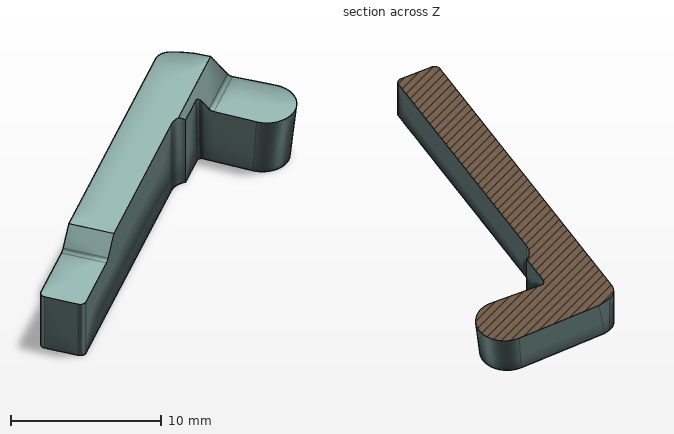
import cadquery as cq
import math

length = 25.55
height = 5.8
low_height = 4.47
step_drop = height - low_height

leg_width = 3.17
end_corner_radius = 0.4
shoulder_x = 3.78
shoulder_start_y = 18.05
shoulder_arc_radius = 1.33

tip_x = 10.0
tip_radius = 2.0
arm_center_y = length - tip_radius
flare_angle = math.radians(1.6)
bottom_radius_loss = 0.15
bottom_tip_setback = 0.45
inner_corner_radius = 0.3

leg_step_foot_y = 4.83
arm_step_foot_x = 4.73
step_fillet = 0.49

clearance = 0.25

corner_start = (0, 24.1)
corner_tight_mid = (0.25, 24.73)
corner_join = (0.75, 25.06)
corner_flat_mid = (1.33, 25.25)
corner_end = (2.17, 25.4)


def make_leg():
    """Leg prism with its curved shoulder, ending inside the arm."""
    rise = shoulder_x - leg_width
    arc_center_x = leg_width + shoulder_arc_radius

    def arc_point(angle):
        x = arc_center_x - shoulder_arc_radius * math.cos(angle)
        y = shoulder_start_y + shoulder_arc_radius * math.sin(angle)
        return (x, y)

    sweep = math.acos(1 - rise / shoulder_arc_radius)
    leg = (
        cq.Workplane("XY")
        .lineTo(leg_width, 0)
        .lineTo(leg_width, shoulder_start_y)
        .threePointArc(arc_point(sweep / 2), arc_point(sweep))
        .lineTo(shoulder_x, arm_center_y)
        .lineTo(0, arm_center_y)
        .close()
        .extrude(height)
    )
    return leg.edges("|Z and <Y").fillet(end_corner_radius)


def arm_section(z):
    """Arm outline at height z: flared sides tangent to the round tip."""
    depth = (low_height - z) / low_height
    radius = tip_radius - bottom_radius_loss * depth
    center_x = tip_x - bottom_tip_setback * depth - radius
    tangent_x = center_x - radius * math.sin(flare_angle)
    tangent_half = radius * math.cos(flare_angle)
    root_half = tangent_half - tangent_x * math.tan(flare_angle)
    return (
        cq.Workplane("XY", origin=(0, arm_center_y, z))
        .moveTo(0, -root_half)
        .lineTo(tangent_x, -tangent_half)
        .threePointArc((center_x + radius, 0), (tangent_x, tangent_half))
        .lineTo(0, root_half)
        .close()
        .wire()
        .val()
    )


def make_arm():
    sections = [arm_section(0), arm_section(height)]
    return cq.Workplane(cq.Solid.makeLoft(sections, True))


def make_step_cutter(plane, foot, end, depth):
    """Prism above a low surface, bounded by a filleted 45 degree slope rising from foot."""
    away = math.copysign(1, foot - end)
    slope_angle = math.radians(45)
    tangent = step_fillet * math.tan(slope_angle / 2)
    slope_offset = tangent * math.cos(slope_angle)
    arc_mid_x = step_fillet * math.sin(slope_angle / 2) - tangent
    arc_mid_z = step_fillet * (1 - math.cos(slope_angle / 2))
    rise = step_drop + clearance
    return (
        cq.Workplane(plane)
        .moveTo(end, low_height)
        .lineTo(foot - away * tangent, low_height)
        .threePointArc(
            (foot + away * arc_mid_x, low_height + arc_mid_z),
            (foot + away * slope_offset, low_height + slope_offset),
        )
        .lineTo(foot + away * rise, low_height + rise)
        .lineTo(end, low_height + rise)
        .close()
        .extrude(depth)
    )


def make_corner_cutter():
    """Everything outside the rounded outer corner."""
    return (
        cq.Workplane("XY")
        .moveTo(*corner_start)
        .threePointArc(corner_tight_mid, corner_join)
        .threePointArc(corner_flat_mid, corner_end)
        .lineTo(corner_end[0], length + clearance)
        .lineTo(-clearance, length + clearance)
        .lineTo(-clearance, corner_start[1])
        .close()
        .extrude(height)
    )


body = make_leg().union(make_arm())
inner_corner = (shoulder_x, arm_center_y - tip_radius, height / 2)
body = body.edges(cq.selectors.NearestToPointSelector(inner_corner)).fillet(inner_corner_radius)
body = body.cut(make_corner_cutter())

leg_step = make_step_cutter("YZ", leg_step_foot_y, -clearance, leg_width)
arm_step = make_step_cutter("XZ", arm_step_foot_x, 2 * tip_x, -2 * length)

result = body.cut(leg_step).cut(arm_step)